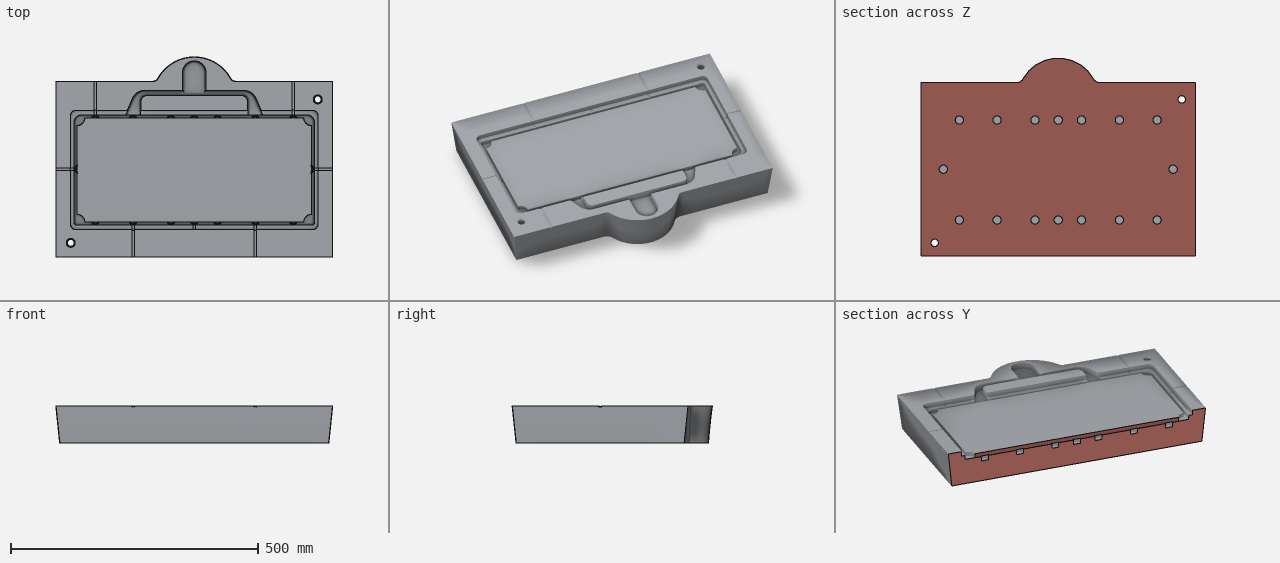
import cadquery as cq
import math

block_length = 560.0
block_width = 355.5
block_height = 75.0

draft = 6.0

floor_fillet = 1.5

overall_width = 405.0
lobe_radius = 84.0
lobe_root_radius = 11.0

recess_center_y = -1.5
step_length = 500.5
step_width = 241.5
step_depth = 10.0
step_corner_radius = 11.0
pocket_length = 486.0
pocket_width = 223.0
pocket_depth = 19.0
pocket_back_radius = 15.0
pocket_front_radius = 5.5

plate_length = 474.0
plate_width = 211.0
plate_notch_radius = 15.5

channel_depth = 15.0
channel_back_y = 159.5
channel_half_length = 139.5
channel_back_half_length = 117.5
channel_corner_radius = 28.0
slot_width = 47.5
slot_end_y = 219.0
ridge_half_length = 107.5
ridge_back_y = 149.0
ridge_corner_radius = 11.0

groove_width = 5.0
groove_depth = 1.0
back_groove_x = 200.0
front_groove_x = 124.0

hole_diameter = 14.0
countersink_width = 1.95
dowel_x = 250.0
dowel_center_y = -4.0
dowel_reach_y = 145.0
floor_hole_depth = 10.0
floor_hole_inset = 4.5
inner_hole_x = 47.0

step_floor_z = block_height - step_depth
pocket_floor_z = block_height - pocket_depth
step_back_y = recess_center_y + step_width / 2
step_front_y = recess_center_y - step_width / 2
step_groove_reach = (step_width - plate_width) / 2
pocket_back_y = recess_center_y + pocket_width / 2


def box_between(corner, opposite):
    """Box with its sides along the axes, from one corner to the opposite one."""
    size = cq.Vector(*opposite) - cq.Vector(*corner)
    return cq.Workplane("XY").box(*size.toTuple(), centered=False).translate(corner)


def make_block():
    """Rectangular block and back lobe with one outline, narrowing towards the bottom."""
    back_y = block_width / 2
    front_y = -back_y
    half_length = block_length / 2
    lobe_top_y = overall_width - back_y
    lobe_center_y = lobe_top_y - lobe_radius

    center_distance = lobe_radius + lobe_root_radius
    root_center_y = back_y + lobe_root_radius
    angle = math.acos((root_center_y - lobe_center_y) / center_distance)
    root_x = center_distance * math.sin(angle)
    tangent_x = lobe_radius * math.sin(angle)
    tangent_y = lobe_center_y + lobe_radius * math.cos(angle)
    root_mid_x = root_x - lobe_root_radius * math.sin(angle / 2)
    root_mid_y = root_center_y - lobe_root_radius * math.cos(angle / 2)

    return (
        cq.Workplane("XY", origin=(0, 0, block_height))
        .moveTo(-half_length, front_y)
        .lineTo(half_length, front_y)
        .lineTo(half_length, back_y)
        .lineTo(root_x, back_y)
        .threePointArc((root_mid_x, root_mid_y), (tangent_x, tangent_y))
        .threePointArc((0, lobe_top_y), (-tangent_x, tangent_y))
        .threePointArc((-root_mid_x, root_mid_y), (-root_x, back_y))
        .lineTo(-half_length, back_y)
        .close()
        .extrude(-block_height, taper=draft)
    )


def make_step_cutter():
    return (
        cq.Workplane("XY", origin=(0, recess_center_y, step_floor_z))
        .rect(step_length, step_width)
        .extrude(step_depth)
        .edges("|Z")
        .fillet(step_corner_radius)
    )


def make_pocket_cutter():
    """Inner pocket, drafted from the step floor down, with larger corners at the back."""
    depth = pocket_depth - step_depth
    outline = (
        cq.Sketch()
        .rect(pocket_length, pocket_width)
        .vertices(">Y")
        .fillet(pocket_back_radius)
        .reset()
        .vertices("<Y")
        .fillet(pocket_front_radius)
    )
    return (
        cq.Workplane("XY", origin=(0, recess_center_y, step_floor_z))
        .placeSketch(outline)
        .extrude(-depth, taper=draft)
        .faces("<Z")
        .edges()
        .fillet(floor_fillet)
    )


def make_ridge():
    """Ridge between the channel and the plate; its foot runs forward to the pocket."""
    length = 2 * ridge_half_length
    front_y = recess_center_y
    return (
        cq.Workplane("XY", origin=(0, (ridge_back_y + front_y) / 2, block_height))
        .sketch()
        .rect(length, ridge_back_y - front_y)
        .vertices(">Y")
        .fillet(ridge_corner_radius)
        .finalize()
        .extrude(-channel_depth, taper=-draft)
    )


def make_channel_cutter():
    """Handle channel and finger slot around the ridge."""
    front_y = recess_center_y
    top = cq.Workplane("XY", origin=(0, 0, block_height))
    channel_outline = (
        cq.Sketch()
        .polygon(
            [
                (-channel_half_length, front_y),
                (channel_half_length, front_y),
                (channel_half_length, pocket_back_y),
                (channel_back_half_length, channel_back_y),
                (-channel_back_half_length, channel_back_y),
                (-channel_half_length, pocket_back_y),
                (-channel_half_length, front_y),
            ]
        )
        .vertices(">Y")
        .fillet(channel_corner_radius)
    )
    channel = top.placeSketch(channel_outline).extrude(-channel_depth, taper=draft)

    slot_radius = slot_width / 2
    arc_center_y = slot_end_y - slot_radius
    slot = (
        top.moveTo(-slot_radius, pocket_back_y)
        .lineTo(slot_radius, pocket_back_y)
        .lineTo(slot_radius, arc_center_y)
        .threePointArc((0, slot_end_y), (-slot_radius, arc_center_y))
        .close()
        .extrude(-channel_depth, taper=draft)
    )
    around_ridge = channel.union(slot).cut(make_ridge())
    return around_ridge.faces("<Z").edges().fillet(floor_fillet)


def make_step_groove(wall_distance, wall_depth):
    """Groove over the step in the +X direction, cut wall_depth into the wall at wall_distance."""
    half = groove_width / 2
    return box_between(
        (wall_distance - step_groove_reach, -half, step_floor_z - groove_depth),
        (wall_distance + wall_depth, half, block_height if wall_depth else step_floor_z),
    )


def make_vent_groove(wall_distance, edge_distance):
    """Groove over the step, up the wall and across the rim, in the +X direction."""
    half = groove_width / 2
    rim_groove = box_between(
        (wall_distance, -half, block_height - groove_depth),
        (edge_distance, half, block_height),
    )
    return make_step_groove(wall_distance, groove_depth).union(rim_groove)


def turn_and_place(groove, turn, x):
    return groove.rotate((0, 0, 0), (0, 0, 1), turn).translate((x, 0, 0))


def make_groove_cutters():
    """Two vents each at the back and front, one on each side, and one groove on the front step only."""
    side_groove = make_vent_groove(step_length / 2, block_length / 2)
    back_groove = make_vent_groove(step_back_y, block_width / 2)
    front_groove = make_vent_groove(-step_front_y, block_width / 2)

    cutters = [turn_and_place(make_step_groove(-step_front_y, 0), -90, 0)]
    for side in (-1, 1):
        cutters.append(turn_and_place(back_groove, 90, side * back_groove_x))
        cutters.append(turn_and_place(front_groove, -90, side * front_groove_x))
    for turn in (0, 180):
        cutters.append(turn_and_place(side_groove, turn, 0))
    return cutters


def make_hole_cutter(x, y, top_z, depth):
    """Round hole with a 45-degree countersink at top_z."""
    radius = hole_diameter / 2
    profile = [
        (0, 0),
        (radius + countersink_width, 0),
        (radius, -countersink_width),
        (radius, -depth),
        (0, -depth),
    ]
    hole = cq.Workplane("XZ").polyline(profile).close().revolve(360, (0, 0), (0, 1))
    return hole.translate((x, y, top_z))


def make_hole_cutters():
    cutters = []
    for side in (-1, 1):
        dowel_y = dowel_center_y + side * dowel_reach_y
        cutters.append(make_hole_cutter(side * dowel_x, dowel_y, block_height, block_height))

        edge_y = recess_center_y + side * (plate_width / 2 - floor_hole_inset)
        for x in (back_groove_x, front_groove_x, inner_hole_x):
            cutters.append(make_hole_cutter(x, edge_y, pocket_floor_z, floor_hole_depth))
            cutters.append(make_hole_cutter(-x, edge_y, pocket_floor_z, floor_hole_depth))
        cutters.append(make_hole_cutter(0, edge_y, pocket_floor_z, floor_hole_depth))

        edge_x = side * (plate_length / 2 - floor_hole_inset)
        cutters.append(make_hole_cutter(edge_x, 0, pocket_floor_z, floor_hole_depth))
    return cutters


def make_base():
    base = make_block().cut(make_channel_cutter()).cut(make_step_cutter()).cut(make_pocket_cutter())
    for cutter in make_groove_cutters() + make_hole_cutters():
        base = base.cut(cutter)
    return base


def make_plate():
    """Flat plate, as tall as the inner pocket is deep, with a round notch in each corner."""
    thickness = pocket_depth - step_depth
    floor = cq.Workplane("XY", origin=(0, recess_center_y, pocket_floor_z))
    plate = floor.rect(plate_length, plate_width).extrude(thickness)
    notches = (
        floor.rect(plate_length, plate_width, forConstruction=True)
        .vertices()
        .circle(plate_notch_radius)
        .extrude(thickness)
    )
    return plate.cut(notches)


base = make_base()
plate = make_plate()
result = cq.Compound.makeCompound([base.val(), plate.val()])